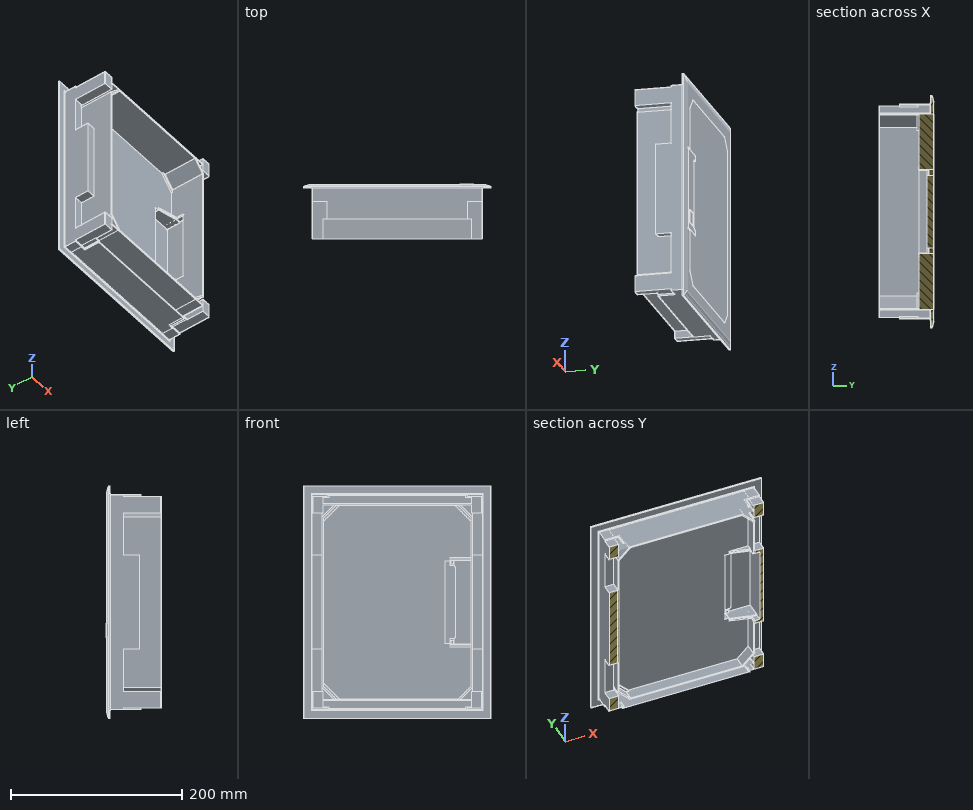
import cadquery as cq


FLANGE_WIDTH = 219.0
FLANGE_HEIGHT = 272.0
EDGE_THICKNESS = 1.6
STEEP_BEVEL_INSET = 2.5
STEEP_BEVEL_RISE = 1.0
SHALLOW_BEVEL_INSET = 5.0
OUTER_FACE_Y = 3.9
SEAT_MARGIN = 1.1
SEAT_DEPTH = 0.4

SKIRT_HALF_X = 99.4
SKIRT_HALF_Z = 125.7
SKIRT_THICKNESS = 1.2
SKIRT_FRONT_Y = -36.4
SHOULDER_Y = -16.0
RAIL_TAB_FRONT_Y = -34.5
RAIL_TAB_HALF_Z = 55.0
CORNER_NOTCH_HALF_X = 82.0
CORNER_JOG_THICKNESS = 2.0
CORNER_NOTCH_DEPTH = 1.9
POST_FRONT_Y = -60.0
POST_WIDTH = 12.6
POST_HEIGHT = 19.4
POST_END_CHAMFER = 0.7
STRIP_THICKNESS = 1.2

TRAY_HALF_X = 88.0
TRAY_HALF_Z = 113.9
TRAY_WALL_X = 2.0
TRAY_WALL_Z = 1.0
TRAY_CORNER = 14.3
TRAY_FLOOR_Y = -13.8
PAD_OFFSET = 6.8
PAD_HEIGHT = 2.0

OUTLET_LEFT_X = 55.9
OUTLET_RIB_X = 61.4
OUTLET_RIGHT_X = 94.2
OUTLET_LIP_X = 68.3
OUTLET_LIP_Y = -4.3
OUTLET_HALF_Z = 48.8
OUTLET_LEFT_HALF_Z = 48.1
WINDOW_HALF_Z = 50.2
WINDOW_FRONT_Y = -31.4
RIB_OUTER_Z = 52.3
RIB_RISE = 6.4
CHEEK_RISE = 5.6
RIB_TOP_Y = TRAY_FLOOR_Y - RIB_RISE

FLAP_INNER_Y = -1.4
HINGE_INNER_Z = 42.6
HINGE_CORNER_CHAMFER = 2.0
HINGE_LUG_RISE = 1.0
HINGE_PIN_RADIUS = 1.5
HINGE_PIN_X = 64.1
HINGE_PIN_INNER_Z = 44.5
GRIP_CENTER_Z = -33.0
GRIP_HEIGHT = 16.0
GRIP_WIDTH = 16.0
GRIP_RISE = 0.4

POST_OUTER_Z = SKIRT_HALF_Z - CORNER_NOTCH_DEPTH
POST_INNER_X = SKIRT_HALF_X - POST_WIDTH
POST_INNER_Z = POST_OUTER_Z - POST_HEIGHT
STRIP_OUTER_Z = TRAY_HALF_Z + STRIP_THICKNESS
SIDES = (-1, 1)


def block(x_range, y_range, z_range):
    """Box between two limits on each axis, given in any order."""
    lows = [min(limits) for limits in (x_range, y_range, z_range)]
    sizes = [abs(limits[1] - limits[0]) for limits in (x_range, y_range, z_range)]
    return cq.Workplane("XY").box(*sizes, centered=False).translate(tuple(lows))


def plane_at(y):
    """Workplane facing +Y, with Z along its first axis and X along its second."""
    return cq.Workplane("ZX", origin=(0, y, 0))


def octagon_prism(half_x, half_z, y_start, y_end):
    """Rectangle with its corners cut at 45 degrees, extruded along Y."""
    flat_x = half_x - TRAY_CORNER
    flat_z = half_z - TRAY_CORNER
    points = [
        (half_z, -flat_x), (half_z, flat_x), (flat_z, half_x), (-flat_z, half_x),
        (-half_z, flat_x), (-half_z, -flat_x), (-flat_z, -half_x), (flat_z, -half_x),
    ]
    return plane_at(y_start).polyline(points).close().extrude(y_end - y_start)


def tray_outline(y_start, y_end):
    return octagon_prism(TRAY_HALF_X, TRAY_HALF_Z, y_start, y_end)


def bevel_layer(y, inset, rise, inset_step):
    """Tapered layer of the flange's crowned outer face."""
    height = FLANGE_HEIGHT - 2 * inset
    width = FLANGE_WIDTH - 2 * inset
    return (
        plane_at(y).rect(height, width).workplane(offset=rise)
        .rect(height - 2 * inset_step, width - 2 * inset_step).loft(ruled=True)
    )


def make_flange():
    edge = plane_at(0).rect(FLANGE_HEIGHT, FLANGE_WIDTH).extrude(EDGE_THICKNESS)
    steep = bevel_layer(EDGE_THICKNESS, 0, STEEP_BEVEL_RISE, STEEP_BEVEL_INSET)
    shallow_y = EDGE_THICKNESS + STEEP_BEVEL_RISE
    shallow = bevel_layer(shallow_y, STEEP_BEVEL_INSET, OUTER_FACE_Y - shallow_y, SHALLOW_BEVEL_INSET)
    seat = (
        plane_at(-SEAT_DEPTH)
        .rect(2 * (SKIRT_HALF_Z + SEAT_MARGIN), 2 * (SKIRT_HALF_X + SEAT_MARGIN))
        .extrude(SEAT_DEPTH)
    )
    return edge.union(steep).union(shallow).union(seat)


def make_long_side(side):
    """Skirt wall and inner strip along one Z side, leaving an open channel between them."""
    outer = side * SKIRT_HALF_Z
    inner = side * (SKIRT_HALF_Z - SKIRT_THICKNESS)
    notch_outer = side * POST_OUTER_Z
    notch_inner = side * (POST_OUTER_Z - SKIRT_THICKNESS)
    wall = block((-SKIRT_HALF_X, SKIRT_HALF_X), (SHOULDER_Y, 0), (outer, inner))
    wall = wall.union(
        block((-CORNER_NOTCH_HALF_X, CORNER_NOTCH_HALF_X), (SKIRT_FRONT_Y, SHOULDER_Y), (outer, inner))
    )
    for x_side in SIDES:
        jog_x = x_side * CORNER_NOTCH_HALF_X
        jog_inner_x = jog_x - x_side * CORNER_JOG_THICKNESS
        post_x = x_side * (POST_INNER_X + SKIRT_THICKNESS)
        jog = block((jog_x, jog_inner_x), (SKIRT_FRONT_Y, SHOULDER_Y), (outer, notch_inner))
        lowered = block((jog_x, post_x), (SKIRT_FRONT_Y, SHOULDER_Y), (notch_outer, notch_inner))
        shoulder = block(
            (jog_inner_x, x_side * SKIRT_HALF_X), (SHOULDER_Y, SHOULDER_Y + SKIRT_THICKNESS),
            (outer, notch_inner),
        )
        wall = wall.union(jog).union(lowered).union(shoulder)
    strip = block(
        (-POST_INNER_X, POST_INNER_X), (POST_FRONT_Y, 0), (side * STRIP_OUTER_Z, side * TRAY_HALF_Z)
    )
    return wall.union(strip)


def make_rail(side):
    """Solid rail along one X side with a deeper tab in the middle."""
    x_range = (side * TRAY_HALF_X, side * SKIRT_HALF_X)
    rail = block(x_range, (SHOULDER_Y, 0), (-POST_OUTER_Z, POST_OUTER_Z))
    return rail.union(block(x_range, (RAIL_TAB_FRONT_Y, 0), (-RAIL_TAB_HALF_Z, RAIL_TAB_HALF_Z)))


def make_post(x_side, z_side):
    """Post with a chamfered outer end edge, and its foot that reaches the skirt."""
    x_range = (x_side * POST_INNER_X, x_side * SKIRT_HALF_X)
    inner_z = z_side * POST_INNER_Z
    post = block(x_range, (POST_FRONT_Y, 0), (inner_z, z_side * POST_OUTER_Z))
    outer_edge = ">X" if x_side > 0 else "<X"
    post = post.faces("<Y").edges(outer_edge).chamfer(POST_END_CHAMFER)
    foot = block(x_range, (SHOULDER_Y, 0), (inner_z, z_side * SKIRT_HALF_Z))
    return post.union(foot)


def outlet_slot(y_start):
    """Room in the +X rail and flange for the outlet, beyond the tray wall."""
    return block(
        (TRAY_HALF_X, OUTLET_RIGHT_X), (y_start, OUTER_FACE_Y), (-WINDOW_HALF_Z, WINDOW_HALF_Z)
    )


def make_frame():
    frame = make_flange()
    for x_side in SIDES:
        frame = frame.union(make_rail(x_side))
        for z_side in SIDES:
            frame = frame.union(make_post(x_side, z_side))
    for z_side in SIDES:
        frame = frame.union(make_long_side(z_side))
    return frame.cut(tray_outline(POST_FRONT_Y, OUTER_FACE_Y)).cut(outlet_slot(WINDOW_FRONT_Y))


def tray_cavity(y_start, y_end):
    return octagon_prism(TRAY_HALF_X - TRAY_WALL_X, TRAY_HALF_Z - TRAY_WALL_Z, y_start, y_end)


def make_corner_pad(x_side, z_side):
    """Low triangular pad on the tray floor, along one cut corner."""
    tip_x = x_side * TRAY_HALF_X
    tip_z = z_side * TRAY_HALF_Z
    along_x = tip_x - x_side * (TRAY_CORNER + PAD_OFFSET)
    along_z = tip_z - z_side * (TRAY_CORNER + PAD_OFFSET)
    return (
        plane_at(TRAY_FLOOR_Y - PAD_HEIGHT)
        .polyline([(tip_z, tip_x), (tip_z, along_x), (along_z, tip_x)]).close().extrude(PAD_HEIGHT)
        .intersect(tray_outline(POST_FRONT_Y, OUTER_FACE_Y))
    )


def make_wedge(rise, side, inner_z, outer_z):
    """Triangular wall beside the outlet, climbing from the tray floor to the +X wall."""
    wall_x = TRAY_HALF_X - TRAY_WALL_X
    profile = [(OUTLET_RIB_X, TRAY_FLOOR_Y), (wall_x, TRAY_FLOOR_Y), (wall_x, TRAY_FLOOR_Y - rise)]
    start_z = min(side * inner_z, side * outer_z)
    plane = cq.Workplane("XY", origin=(0, 0, start_z))
    return plane.polyline(profile).close().extrude(outer_z - inner_z)


def make_outlet_rib(side):
    """Rib with a slightly lower cheek lining the outlet."""
    rib = make_wedge(RIB_RISE, side, WINDOW_HALF_Z, RIB_OUTER_Z)
    return rib.union(make_wedge(CHEEK_RISE, side, OUTLET_HALF_Z, WINDOW_HALF_Z))


def flap_outline():
    """Flap plate with a hinge lug at each Z end, through the full flap thickness."""
    chamfer = HINGE_CORNER_CHAMFER
    points = [
        (-OUTLET_HALF_Z, OUTLET_RIGHT_X), (-OUTLET_HALF_Z, OUTLET_RIB_X), (-HINGE_INNER_Z, OUTLET_RIB_X),
        (-HINGE_INNER_Z, OUTLET_LIP_X - chamfer), (chamfer - HINGE_INNER_Z, OUTLET_LIP_X),
        (HINGE_INNER_Z - chamfer, OUTLET_LIP_X), (HINGE_INNER_Z, OUTLET_LIP_X - chamfer),
        (HINGE_INNER_Z, OUTLET_RIB_X), (OUTLET_HALF_Z, OUTLET_RIB_X), (OUTLET_HALF_Z, OUTLET_RIGHT_X),
    ]
    return plane_at(0).polyline(points).close()


def flap_prism(y_start, y_end):
    return flap_outline().extrude(y_end - y_start).translate((0, y_start, 0))


def outlet_in_lid():
    left = block(
        (OUTLET_LEFT_X, OUTLET_LIP_X), (TRAY_FLOOR_Y, OUTLET_LIP_Y),
        (-OUTLET_LEFT_HALF_Z, OUTLET_LEFT_HALF_Z),
    )
    right = block(
        (OUTLET_RIB_X, OUTLET_RIGHT_X), (RIB_TOP_Y, OUTLET_LIP_Y), (-OUTLET_HALF_Z, OUTLET_HALF_Z)
    )
    window = block(
        (TRAY_HALF_X - TRAY_WALL_X, TRAY_HALF_X), (WINDOW_FRONT_Y, RIB_TOP_Y),
        (-WINDOW_HALF_Z, WINDOW_HALF_Z),
    )
    return left.union(right).union(window).union(flap_prism(OUTLET_LIP_Y, OUTER_FACE_Y))


def make_lid():
    lid = tray_outline(POST_FRONT_Y, OUTER_FACE_Y).cut(tray_cavity(POST_FRONT_Y, TRAY_FLOOR_Y))
    for x_side, z_side in ((-1, 1), (1, 1), (-1, -1)):
        lid = lid.union(make_corner_pad(x_side, z_side))
    for side in SIDES:
        lid = lid.union(make_outlet_rib(side))
    return lid.union(outlet_slot(RIB_TOP_Y)).cut(outlet_in_lid())


def make_hinge(side):
    """Raised lug at one end of the flap, with a pin along Z lying half sunk in it."""
    lug_y = FLAP_INNER_Y - HINGE_LUG_RISE
    lug_end_x = OUTLET_LIP_X - HINGE_CORNER_CHAMFER
    end_z = side * OUTLET_HALF_Z
    lug = block((OUTLET_RIB_X, lug_end_x), (lug_y, FLAP_INNER_Y), (side * HINGE_INNER_Z, end_z))
    pin = (
        cq.Workplane("XY", origin=(HINGE_PIN_X, lug_y, min(side * HINGE_PIN_INNER_Z, end_z)))
        .circle(HINGE_PIN_RADIUS).extrude(OUTLET_HALF_Z - HINGE_PIN_INNER_Z)
    )
    return lug.union(pin)


def make_flap():
    flap = flap_prism(FLAP_INNER_Y, OUTER_FACE_Y)
    for side in SIDES:
        flap = flap.union(make_hinge(side))
    grip_center_x = (OUTLET_LIP_X + OUTLET_RIGHT_X) / 2
    grip = (
        plane_at(OUTER_FACE_Y).center(GRIP_CENTER_Z, grip_center_x)
        .rect(GRIP_HEIGHT, GRIP_WIDTH).extrude(GRIP_RISE)
    )
    return flap.union(grip)


frame = make_frame()
lid = make_lid()
flap = make_flap()

result = cq.Compound.makeCompound([frame.val(), lid.val(), flap.val()])